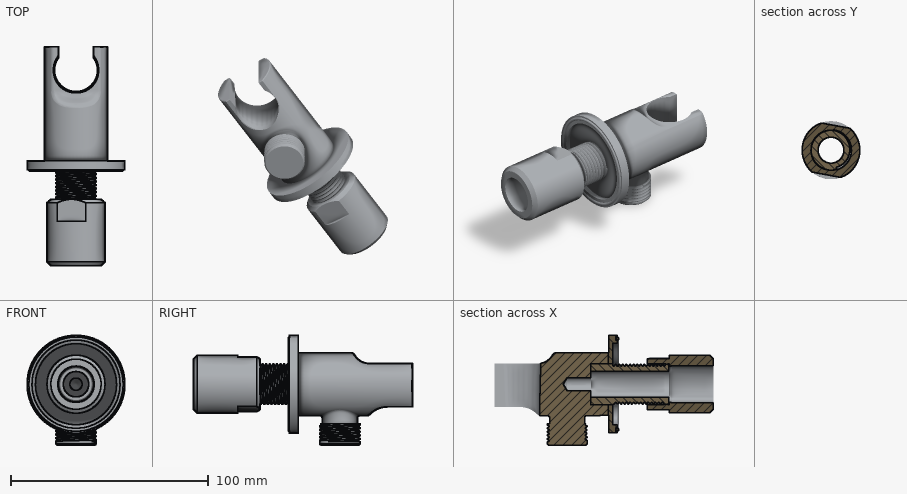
import cadquery as cq
import math

TOTAL_LENGTH = 111.0
TOTAL_HEIGHT = 55.7

CLEARANCE = 0.1

HOLDER_DIAMETER = 32.0
HOLDER_LENGTH = 57.8
FORK_TOP = 10.5
FORK_BOTTOM = 11.5
TOP_FLAT_START = 35.9
TOP_RAMP_RADIUS = 8.5
BOTTOM_FLAT_START = 45.0
BOTTOM_RAMP_RADIUS = 12.2
FORK_EDGE_FILLET = 2.0
FORK_END_FILLET = 0.4
CRADLE_Y = 45.8
CRADLE_TOP_DIAMETER = 23.0
CRADLE_BOTTOM_DIAMETER = 21.8
CRADLE_SLOT_WIDTH = 17.6
WATERWAY_RADIUS = 3.1
WATERWAY_TIP_ANGLE = 118.0

OUTLET_Y = 21.0
OUTLET_STEM_RADIUS = 9.0
OUTLET_FILLET = 1.0
OUTLET_THREAD_TOP = 20.0

THREAD_DIAMETER = 20.5
THREAD_DEPTH = 1.1
THREADS_PER_UNIT = 0.5495
THREAD_CREST_WIDTH = 0.17
GROOVE_OVERSHOOT = 0.05
THREAD_COLLAR = 1.7
THREAD_CHAMFER = 0.8

FLANGE_DIAMETER = 49.6
FLANGE_THICKNESS = 4.5
RECESS_RADIUS = 20.5
RECESS_DEPTH = 2.3
SEAL_RADIUS = 23.1
SEAL_CORD_RADIUS = 0.8
SEAL_PROTRUSION = 0.7

NIPPLE_SOCKET_DEPTH = 8.9
NIPPLE_BORE_RADIUS = 6.4

COUPLING_DIAMETER = 29.4
COUPLING_START = 19.4
COUPLING_CHAMFER = 2.0
COUPLING_FRONT_CHAMFER = 1.8
COUPLING_BORE_RADIUS = 9.2
COUPLING_SEAT_RADIUS = 9.0
COUPLING_LIP = 1.1
WRENCH_FLAT_WIDTH = 25.5
WRENCH_FLAT_LENGTH = 11.2
WRENCH_FLAT_ANGLE = 10.5

HOLDER_RADIUS = HOLDER_DIAMETER / 2
CRADLE_TOP_RADIUS = CRADLE_TOP_DIAMETER / 2
CRADLE_BOTTOM_RADIUS = CRADLE_BOTTOM_DIAMETER / 2
FLANGE_RADIUS = FLANGE_DIAMETER / 2
COUPLING_RADIUS = COUPLING_DIAMETER / 2
THREAD_RADIUS = THREAD_DIAMETER / 2
THREAD_PITCH = 1 / THREADS_PER_UNIT
OUTLET_END = TOTAL_HEIGHT - FLANGE_RADIUS
COUPLING_END = TOTAL_LENGTH - HOLDER_LENGTH
NIPPLE_END = COUPLING_START + WRENCH_FLAT_LENGTH


def y_cylinder(radius, y_start, y_end):
    """Cylinder about the Y axis between two Y positions."""
    length = y_end - y_start
    return cq.Workplane(cq.Solid.makeCylinder(radius, length, cq.Vector(0, y_start, 0), cq.Vector(0, 1, 0)))


def threaded_stud(length):
    """Stud along +Z from the origin: helical thread, then a plain chamfered collar at the free end."""
    threaded_length = length - THREAD_COLLAR
    root_radius = THREAD_RADIUS - THREAD_DEPTH
    groove_depth = THREAD_DEPTH + GROOVE_OVERSHOOT
    half_groove = (THREAD_PITCH - THREAD_CREST_WIDTH) / 2
    half_mouth = half_groove * groove_depth / THREAD_DEPTH
    mouth_radius = root_radius + groove_depth
    helix = cq.Wire.makeHelix(THREAD_PITCH, threaded_length, THREAD_RADIUS)
    groove = (
        cq.Workplane("XZ")
        .polyline([
            (root_radius, 0),
            (mouth_radius, half_mouth),
            (mouth_radius, -half_mouth),
        ])
        .close()
        .sweep(cq.Workplane(helix), isFrenet=True)
    )
    thread = cq.Workplane("XY").circle(THREAD_RADIUS).extrude(length - THREAD_CHAMFER).cut(groove)
    collar = cq.Workplane("XY", origin=(0, 0, threaded_length)).circle(THREAD_RADIUS).extrude(THREAD_COLLAR)
    return thread.union(collar.faces(">Z").chamfer(THREAD_CHAMFER))


def fork_relief(flat_start, ramp_radius, flat_height):
    """Material above the fork: a flat that runs tangentially into a concave ramp toward the wall."""
    top = HOLDER_RADIUS + CLEARANCE
    front = HOLDER_LENGTH + CLEARANCE
    ramp_angle = math.acos(1 - (top - flat_height) / ramp_radius)

    def ramp_point(angle):
        y = flat_start - ramp_radius * math.sin(angle)
        z = flat_height + ramp_radius * (1 - math.cos(angle))
        return (y, z)

    return (
        cq.Workplane("YZ")
        .moveTo(front, flat_height)
        .lineTo(flat_start, flat_height)
        .threePointArc(ramp_point(ramp_angle / 2), ramp_point(ramp_angle))
        .lineTo(front, top)
        .close()
        .extrude(HOLDER_RADIUS + CLEARANCE, both=True)
    )


def make_fork():
    """Barrel with its fork end flattened above and below, before the cradle is cut."""
    barrel = y_cylinder(HOLDER_RADIUS, 0, HOLDER_LENGTH).rotate((0, 0, 0), (0, 1, 0), 90)
    fork = barrel.cut(fork_relief(TOP_FLAT_START, TOP_RAMP_RADIUS, FORK_TOP))

    rim_zone = cq.selectors.BoxSelector(
        (-HOLDER_RADIUS, CLEARANCE, FORK_TOP - CLEARANCE),
        (HOLDER_RADIUS, HOLDER_LENGTH - CLEARANCE, HOLDER_RADIUS),
    )
    fork = fork.edges(rim_zone).edges("not |X").fillet(FORK_EDGE_FILLET)
    fork = fork.cut(fork_relief(BOTTOM_FLAT_START, BOTTOM_RAMP_RADIUS, FORK_BOTTOM).mirror("XY"))
    return fork.faces(">Y").edges().fillet(FORK_END_FILLET)


def add_outlet(holder):
    stem = cq.Workplane("XY").center(0, OUTLET_Y).circle(OUTLET_STEM_RADIUS).extrude(-OUTLET_THREAD_TOP)
    holder = holder.union(stem)
    reach = OUTLET_STEM_RADIUS + CLEARANCE
    joint_zone = cq.selectors.BoxSelector(
        (-reach, OUTLET_Y - reach, -HOLDER_RADIUS - CLEARANCE), (reach, OUTLET_Y + reach, 0)
    )
    holder = holder.edges(joint_zone).edges("not %LINE").fillet(OUTLET_FILLET)
    stud = threaded_stud(OUTLET_END - OUTLET_THREAD_TOP)
    stud = stud.rotate((0, 0, 0), (1, 0, 0), 180).translate((0, OUTLET_Y, -OUTLET_THREAD_TOP))
    return holder.union(stud)


def cut_cradle(holder):
    """Tapered cradle for the hand shower, open to the front through a slot."""
    taper = (CRADLE_TOP_RADIUS - CRADLE_BOTTOM_RADIUS) / (FORK_TOP + FORK_BOTTOM)
    cone = cq.Solid.makeCone(
        CRADLE_BOTTOM_RADIUS - taper * (HOLDER_RADIUS - FORK_BOTTOM),
        CRADLE_TOP_RADIUS + taper * (HOLDER_RADIUS - FORK_TOP),
        2 * HOLDER_RADIUS,
        cq.Vector(0, CRADLE_Y, -HOLDER_RADIUS),
    )
    slot = cq.Workplane("XY").box(
        CRADLE_SLOT_WIDTH, HOLDER_LENGTH, 2 * HOLDER_RADIUS, centered=(True, False, True)
    ).translate((0, CRADLE_Y, 0))
    return holder.cut(cq.Workplane(cone)).cut(slot)


def cut_waterway(holder):
    """Nipple socket and the blind drilled waterway behind it."""
    holder = holder.cut(y_cylinder(THREAD_RADIUS, 0, NIPPLE_SOCKET_DEPTH))
    tip_length = WATERWAY_RADIUS / math.tan(math.radians(WATERWAY_TIP_ANGLE / 2))
    waterway = y_cylinder(WATERWAY_RADIUS, NIPPLE_SOCKET_DEPTH, OUTLET_Y)
    tip = cq.Solid.makeCone(WATERWAY_RADIUS, 0, tip_length, cq.Vector(0, OUTLET_Y, 0), cq.Vector(0, 1, 0))
    return holder.cut(waterway).cut(cq.Workplane(tip))


def make_holder():
    return cut_waterway(cut_cradle(add_outlet(make_fork())))


def make_flange():
    seal_groove_depth = 2 * SEAL_CORD_RADIUS - SEAL_PROTRUSION
    flange = y_cylinder(FLANGE_RADIUS, -FLANGE_THICKNESS, 0)
    flange = flange.cut(y_cylinder(RECESS_RADIUS, -FLANGE_THICKNESS, RECESS_DEPTH - FLANGE_THICKNESS))
    groove_end = seal_groove_depth - FLANGE_THICKNESS
    groove = y_cylinder(SEAL_RADIUS + SEAL_CORD_RADIUS, -FLANGE_THICKNESS, groove_end).cut(
        y_cylinder(SEAL_RADIUS - SEAL_CORD_RADIUS, -FLANGE_THICKNESS, groove_end)
    )
    return flange.cut(groove).cut(y_cylinder(THREAD_RADIUS, -FLANGE_THICKNESS, 0))


def make_seal():
    cord_y = SEAL_CORD_RADIUS - SEAL_PROTRUSION - FLANGE_THICKNESS
    return cq.Workplane(
        cq.Solid.makeTorus(SEAL_RADIUS, SEAL_CORD_RADIUS, cq.Vector(0, cord_y, 0), cq.Vector(0, 1, 0))
    )


def make_nipple():
    thread_start = RECESS_DEPTH - FLANGE_THICKNESS
    shank = y_cylinder(THREAD_RADIUS, thread_start, NIPPLE_SOCKET_DEPTH)
    stud = threaded_stud(NIPPLE_END + thread_start)
    stud = stud.rotate((0, 0, 0), (1, 0, 0), 90).translate((0, thread_start, 0))
    bore = y_cylinder(NIPPLE_BORE_RADIUS, -NIPPLE_END, NIPPLE_SOCKET_DEPTH)
    return shank.union(stud).cut(bore)


def make_coupling():
    sleeve = y_cylinder(COUPLING_RADIUS, -COUPLING_END, -COUPLING_START)
    sleeve = sleeve.faces("<Y").chamfer(COUPLING_CHAMFER)
    sleeve = sleeve.faces(">Y").chamfer(COUPLING_FRONT_CHAMFER, COUPLING_CHAMFER)

    flat_zone = y_cylinder(2 * COUPLING_RADIUS, -COUPLING_START - WRENCH_FLAT_LENGTH, -COUPLING_START)
    kept_slab = cq.Workplane("XY").box(5 * COUPLING_RADIUS, 2 * TOTAL_LENGTH, WRENCH_FLAT_WIDTH)
    kept_slab = kept_slab.rotate((0, 0, 0), (0, 1, 0), -WRENCH_FLAT_ANGLE)
    sleeve = sleeve.cut(flat_zone.cut(kept_slab))

    lip_end = -NIPPLE_END - COUPLING_LIP
    seat_depth = COUPLING_BORE_RADIUS - COUPLING_SEAT_RADIUS
    seat = cq.Solid.makeCone(
        COUPLING_BORE_RADIUS, COUPLING_SEAT_RADIUS, seat_depth, cq.Vector(0, lip_end, 0), cq.Vector(0, 1, 0)
    )
    return (
        sleeve.cut(y_cylinder(THREAD_RADIUS, -NIPPLE_END, -COUPLING_START))
        .cut(y_cylinder(COUPLING_SEAT_RADIUS, lip_end, -NIPPLE_END))
        .cut(cq.Workplane(seat))
        .cut(y_cylinder(COUPLING_BORE_RADIUS, -COUPLING_END, lip_end))
    )


holder = make_holder()
flange = make_flange()
seal = make_seal()
nipple = make_nipple()
coupling = make_coupling()

result = cq.Compound.makeCompound(
    [holder.val(), flange.val(), seal.val(), nipple.val(), coupling.val()]
)